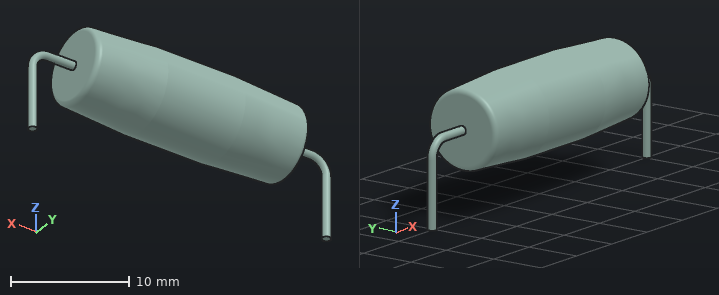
import cadquery as cq

OVERALL_LENGTH = 31.28

BARREL_LENGTH = 22.0
BARREL_DIAMETER = 8.0
CENTRE_LENGTH = 8.0
END_DIAMETER = 7.2
END_FILLET = 0.5

LEAD_DIAMETER = 0.8
LEAD_BEND_RADIUS = 1.6
OVERALL_HEIGHT = 11.8

barrel_end_x = BARREL_LENGTH / 2
lead_x = (OVERALL_LENGTH - LEAD_DIAMETER) / 2
lead_bottom_z = BARREL_DIAMETER / 2 - OVERALL_HEIGHT


def make_barrel():
    """Cylinder with a taper towards each end and rounded end edges."""
    centre_x = CENTRE_LENGTH / 2
    barrel_radius = BARREL_DIAMETER / 2
    end_radius = END_DIAMETER / 2
    half_profile = (
        cq.Workplane("XZ")
        .moveTo(-barrel_end_x, 0)
        .lineTo(-barrel_end_x, end_radius)
        .lineTo(-centre_x, barrel_radius)
        .lineTo(centre_x, barrel_radius)
        .lineTo(barrel_end_x, end_radius)
        .lineTo(barrel_end_x, 0)
        .close()
    )
    barrel = half_profile.revolve(360, (0, 0, 0), (1, 0, 0))
    return barrel.faces("<X or >X").edges().fillet(END_FILLET)


def make_lead(side):
    """Round wire from a barrel end face, bent down; side is -1 or +1 along X."""
    bend_start_x = lead_x - LEAD_BEND_RADIUS
    path = (
        cq.Workplane("XZ")
        .moveTo(side * barrel_end_x, 0)
        .lineTo(side * bend_start_x, 0)
        .tangentArcPoint((side * lead_x, -LEAD_BEND_RADIUS), relative=False)
        .lineTo(side * lead_x, lead_bottom_z)
    )
    wire_section = cq.Workplane("YZ", origin=(side * barrel_end_x, 0, 0)).circle(LEAD_DIAMETER / 2)
    return wire_section.sweep(path)


barrel = make_barrel()
leads = [make_lead(side) for side in (-1, 1)]

result = cq.Compound.makeCompound([barrel.val(), *[lead.val() for lead in leads]])